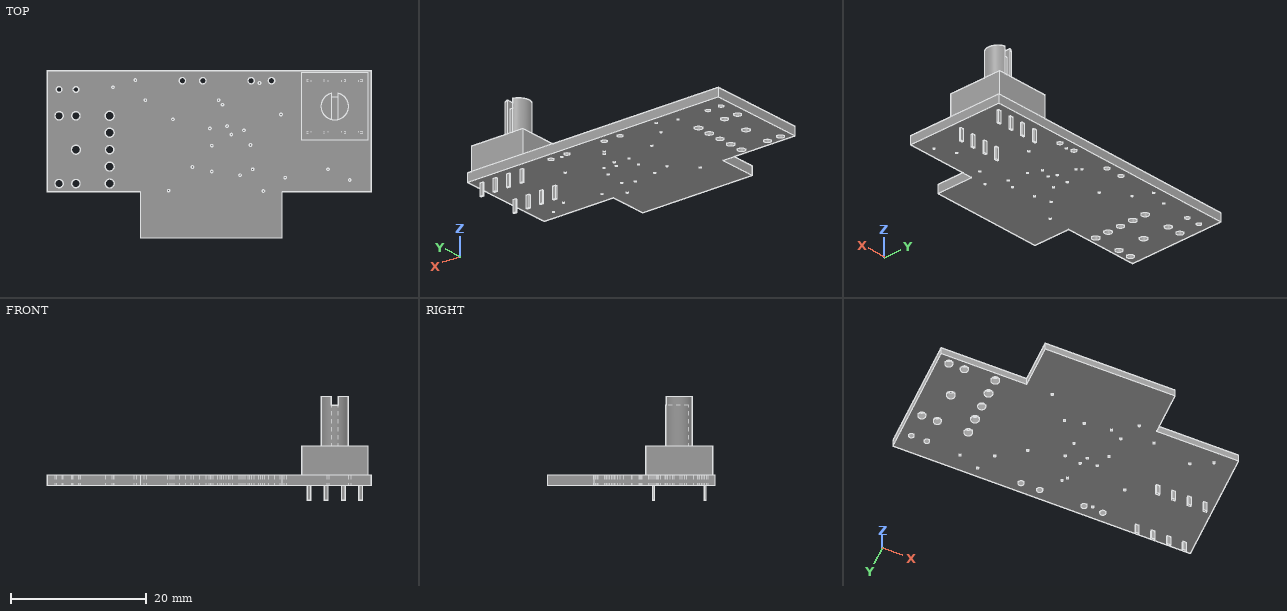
import cadquery as cq

BOARD_LENGTH = 47.75
BOARD_DEPTH = 17.85
OVERALL_DEPTH = 24.7
BOARD_THICKNESS = 1.58
BOARD_BACK = OVERALL_DEPTH / 2
BOARD_FRONT = BOARD_BACK - BOARD_DEPTH
TAB_WIDTH = 20.85
TAB_CENTER_X = 0.3
TAB_DEPTH = OVERALL_DEPTH - BOARD_DEPTH

CONTROL_X = 18.5
CONTROL_Y = 7.05
BODY_WIDTH = 9.8
BODY_DEPTH = 9.95
BODY_HEIGHT = 4.3
BODY_TOP = BOARD_THICKNESS + BODY_HEIGHT
SHAFT_DIAMETER = 4.0
SHAFT_HEIGHT = 7.25
SLOT_WIDTH = 1.0
SLOT_DEPTH = 1.3
KEYWAY_FLOOR_OFFSET = 1.4
PIN_COLUMNS = 4
PIN_ROWS = 2
PIN_PITCH = 2.55
PIN_ROW_SPACING = 7.65
PIN_WIDTH = 0.55
PIN_THICKNESS = 0.3
PIN_LENGTH = 2.15

HEADER_HOLES = 5
TERMINAL_SPAN = 10.0
TERMINAL_PITCH = TERMINAL_SPAN / (HEADER_HOLES - 1)
TERMINAL_TOP_Y = 5.7
OUTER_COLUMN_X = -22.1
INNER_COLUMN_X = -19.63
HEADER_COLUMN_X = -14.65
LARGE_TERMINAL_DIAMETER = 1.3
SMALL_TERMINAL_DIAMETER = 1.2

terminal_rows = [TERMINAL_TOP_Y - i * TERMINAL_PITCH for i in range(HEADER_HOLES)]
top_row, middle_row, bottom_row = terminal_rows[::2]
header_points = [(HEADER_COLUMN_X, y) for y in terminal_rows if y != middle_row]
large_terminal_points = header_points + [(INNER_COLUMN_X, middle_row)]
small_terminal_points = [
    (x, y) for x in (OUTER_COLUMN_X, INNER_COLUMN_X) for y in (top_row, bottom_row)
] + [(HEADER_COLUMN_X, middle_row)]

PAIR_DIAMETER = 0.8
PAIR_Y = 9.55
pair_points = [(x, PAIR_Y) for x in (OUTER_COLUMN_X, INNER_COLUMN_X)]

EDGE_HOLE_DIAMETER = 0.9
EDGE_HOLE_Y = 10.85
EDGE_PAIR_SPACING = 3.0
EDGE_PAIR_STARTS = (-3.95, 6.15)
edge_hole_points = [
    (x + offset, EDGE_HOLE_Y) for x in EDGE_PAIR_STARTS for offset in (0, EDGE_PAIR_SPACING)
]

SMALL_VIA_DIAMETER = 0.33
LARGE_VIA_DIAMETER = 0.35
SMALL_VIAS = [
    (-14.2, 9.9), (-9.4, 7.97), (1.4, 7.97), (1.95, 7.3), (-5.35, 5.15),
    (0.1, 3.8), (5.1, 3.55), (3.25, 2.9), (0.4, 1.3), (6.4, -2.2),
    (17.5, -2.2), (0.4, -2.55), (4.55, -3.05), (11.15, -3.45), (-5.95, -5.35),
    (7.97, -5.4),
]
LARGE_VIAS = [
    (-10.9, 10.95), (7.4, 10.5), (10.55, 5.85), (2.65, 4.15), (6.05, 1.4),
    (-2.5, -1.85), (20.68, -3.75),
]


def block(width, depth, height, x, y, z):
    """Box centred on (x, y) that stands on height z."""
    return cq.Workplane("XY", origin=(x, y, z)).box(width, depth, height, centered=(True, True, False))


def make_board():
    board_y = (BOARD_BACK + BOARD_FRONT) / 2
    tab_y = BOARD_FRONT - TAB_DEPTH / 2
    plate = block(BOARD_LENGTH, BOARD_DEPTH, BOARD_THICKNESS, 0, board_y, 0)
    tab = block(TAB_WIDTH, TAB_DEPTH, BOARD_THICKNESS, TAB_CENTER_X, tab_y, 0)
    return plate.union(tab)


def drill(board, diameter, points):
    holes = cq.Workplane("XY").pushPoints(points).circle(diameter / 2).extrude(BOARD_THICKNESS)
    return board.cut(holes)


def make_shaft():
    shaft = (
        cq.Workplane("XY", origin=(CONTROL_X, CONTROL_Y, BODY_TOP))
        .circle(SHAFT_DIAMETER / 2)
        .extrude(SHAFT_HEIGHT)
    )
    slot_bottom = BODY_TOP + SHAFT_HEIGHT - SLOT_DEPTH
    slot = block(SLOT_WIDTH, SHAFT_DIAMETER, SLOT_DEPTH, CONTROL_X, CONTROL_Y, slot_bottom)
    keyway_depth = SHAFT_DIAMETER / 2 - KEYWAY_FLOOR_OFFSET
    keyway_y = CONTROL_Y + KEYWAY_FLOOR_OFFSET + keyway_depth / 2
    keyway = block(SLOT_WIDTH, keyway_depth, SHAFT_HEIGHT, CONTROL_X, keyway_y, BODY_TOP)
    return shaft.cut(slot).cut(keyway)


def make_pins():
    return (
        cq.Workplane("XY", origin=(CONTROL_X, CONTROL_Y, 0))
        .rarray(PIN_PITCH, PIN_ROW_SPACING, PIN_COLUMNS, PIN_ROWS)
        .rect(PIN_WIDTH, PIN_THICKNESS)
        .extrude(-PIN_LENGTH)
    )


board = make_board()
for diameter, points in (
    (LARGE_TERMINAL_DIAMETER, large_terminal_points),
    (SMALL_TERMINAL_DIAMETER, small_terminal_points),
    (PAIR_DIAMETER, pair_points),
    (EDGE_HOLE_DIAMETER, edge_hole_points),
    (SMALL_VIA_DIAMETER, SMALL_VIAS),
    (LARGE_VIA_DIAMETER, LARGE_VIAS),
):
    board = drill(board, diameter, points)

body = block(BODY_WIDTH, BODY_DEPTH, BODY_HEIGHT, CONTROL_X, CONTROL_Y, BOARD_THICKNESS)
result = board.union(body).union(make_shaft()).union(make_pins())